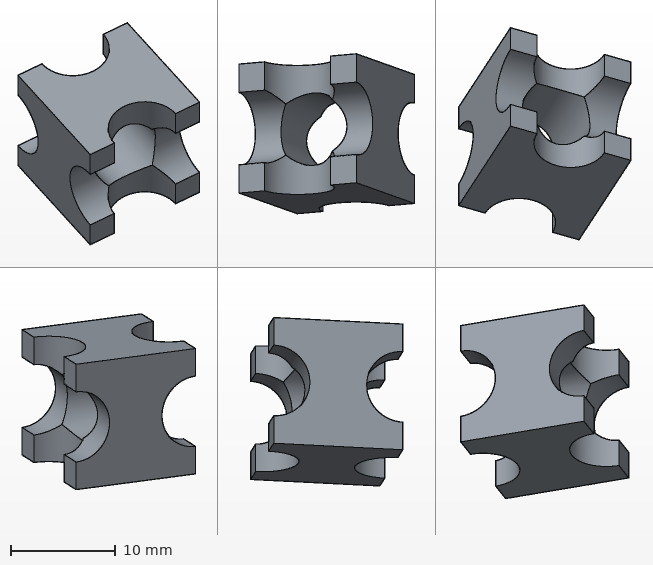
import cadquery as cq

side = 12.5
bore_diameter = 7.0


def bore(plane, x):
    """Cylinder through the whole cube, square to the plane, with its axis at the given x."""
    return cq.Workplane(plane).center(x, 0).circle(bore_diameter / 2).extrude(side, both=True)


result = cq.Workplane("XY").box(side, side, side)

result = result.cut(bore("YZ", 0))

for face_x in (-side / 2, side / 2):
    for plane in ("XZ", "XY"):
        result = result.cut(bore(plane, face_x))